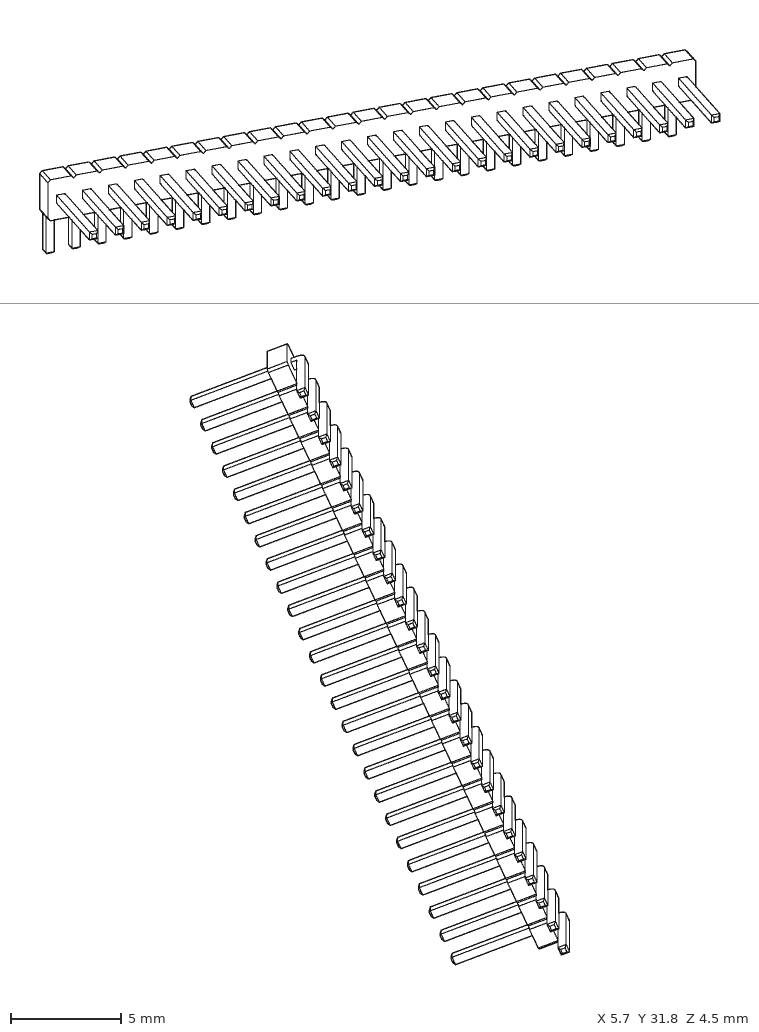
import cadquery as cq

pin_count = 25
row_length = 31.75
pitch = row_length / pin_count

pin_reach = 5.7
total_height = 4.5

body_width = 1.0
body_height = 2.1
body_offset = 0.7
notch_half_width = 0.13
notch_depth = 0.13

pin_size = 0.4
bend_radius = pin_size
tip_chamfer = 0.1

body_top = body_height / 2
arm_top = pin_size / 2
leg_bottom = body_top - total_height


def make_body_segment():
    """One pitch of the body, with its top and bottom edges bevelled toward its neighbours."""
    half_pitch = pitch / 2
    flat_edge = half_pitch - notch_half_width
    side_edge = body_top - notch_depth
    return (
        cq.Workplane("YZ", origin=(body_offset, 0, 0))
        .moveTo(-flat_edge, body_top)
        .lineTo(flat_edge, body_top)
        .lineTo(half_pitch, side_edge)
        .lineTo(half_pitch, -side_edge)
        .lineTo(flat_edge, -body_top)
        .lineTo(-flat_edge, -body_top)
        .lineTo(-half_pitch, -side_edge)
        .lineTo(-half_pitch, side_edge)
        .close()
        .extrude(body_width)
    )


def make_pin():
    """An L-shaped square pin with its bend rounded outside and both tips bevelled."""
    return (
        cq.Workplane("XZ")
        .moveTo(0, leg_bottom)
        .lineTo(0, arm_top - bend_radius)
        .radiusArc((bend_radius, arm_top), bend_radius)
        .lineTo(pin_reach, arm_top)
        .lineTo(pin_reach, arm_top - pin_size)
        .lineTo(pin_size, arm_top - pin_size)
        .lineTo(pin_size, leg_bottom)
        .close()
        .extrude(pin_size / 2, both=True)
        .faces(">X or <Z")
        .edges()
        .chamfer(tip_chamfer)
    )


contact = make_body_segment().union(make_pin())
first_y = -(row_length - pitch) / 2

result = contact.translate((0, first_y, 0))
for index in range(1, pin_count):
    result = result.union(contact.translate((0, first_y + index * pitch, 0)))
result = result.clean()